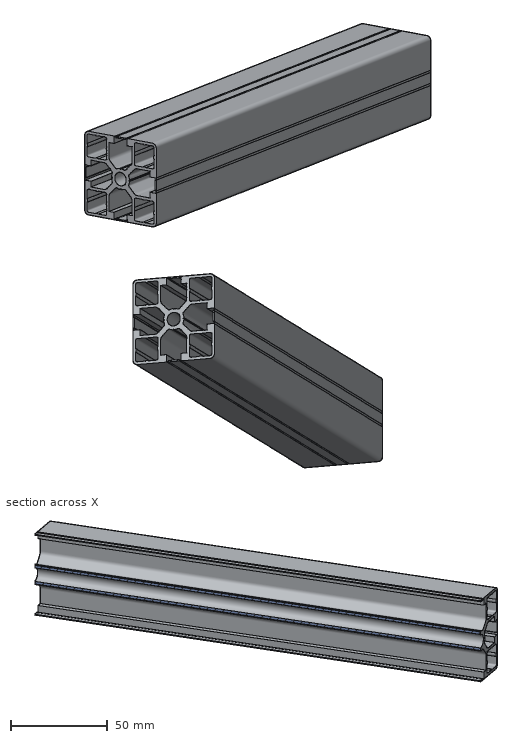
import cadquery as cq
import math

side = 45.0
length = 250.0
corner_radius = 2.5
wall = 1.5

bore_diameter = 7.19
tube_diameter = 11.3
web_thickness = 3.1
web_root_fillet = 1.0
notch_depth = 0.4

slot_opening = 8.2
slot_width = 14.4
lip_depth = 4.0
shoulder_fillet = 2.5

cover_thickness = 0.75
score_width = 1.2
score_skin = 0.3

cell_fillet = 1.0
ridge_radius = 2.0
ridge_height = 0.25

half_side = side / 2
half_slot = slot_width / 2
half_opening = slot_opening / 2
tube_radius = tube_diameter / 2
cell_near = half_slot + wall
cell_far = half_side - wall
cell_size = cell_far - cell_near
cell_centre = (cell_far + cell_near) / 2
web_offset = web_thickness / math.sqrt(2)
lip_level = half_side - lip_depth
cover_level = half_side - cover_thickness
score_level = half_side - score_skin
quarter_turns = (0, 90, 180, 270)


def profile():
    """Workplane at the -Y end: local x is X, local y is Z; extrude(-length) fills the bar."""
    return cq.Workplane("XZ", origin=(0, -length / 2, 0))


def fillet_mirrored_pair(body, x, z, radius):
    """Round the two lengthwise edges of the body nearest to (x, z) and (-x, z)."""
    right = body.edges(cq.selectors.NearestToPointSelector((x, 0, z)))
    left = body.edges(cq.selectors.NearestToPointSelector((-x, 0, z)))
    return right.add(left).fillet(radius)


def make_bar():
    bar = profile().rect(side, side).extrude(-length)
    return bar.edges("|Y").fillet(corner_radius)


def make_cell():
    """Square cell, with a low rounded ridge along the middle of each wall."""
    cell = profile().center(cell_centre, cell_centre).rect(cell_size, cell_size).extrude(-length)
    cell = cell.edges("|Y").fillet(cell_fillet)
    ridge_offset = cell_size / 2 - ridge_height + ridge_radius
    ridges = (
        profile()
        .center(cell_centre, cell_centre)
        .polarArray(ridge_offset, 0, 360, len(quarter_turns))
        .circle(ridge_radius)
        .extrude(-length)
    )
    return cell.cut(ridges)


def make_slot_chamber():
    """Wide part of the top slot, tapering down between two webs to the tube."""
    shoulder_level = half_slot + web_offset
    chamber = (
        profile()
        .moveTo(0, web_offset)
        .lineTo(half_slot, shoulder_level)
        .lineTo(half_slot, lip_level)
        .lineTo(-half_slot, lip_level)
        .lineTo(-half_slot, shoulder_level)
        .close()
        .extrude(-length)
    )
    tube = profile().circle(tube_radius).extrude(-length)
    chamber = chamber.cut(tube)

    root_x = (math.sqrt(2 * tube_radius**2 - web_offset**2) - web_offset) / 2
    root_level = root_x + web_offset
    chamber = fillet_mirrored_pair(chamber, root_x, root_level, web_root_fillet)
    chamber = fillet_mirrored_pair(chamber, half_slot, shoulder_level, shoulder_fillet)
    return chamber.union(make_tube_notch())


def make_tube_notch():
    """Small 90 degree V along the crown of the tube, facing the slot."""
    return (
        profile()
        .moveTo(0, tube_radius - notch_depth)
        .lineTo(notch_depth, tube_radius)
        .lineTo(-notch_depth, tube_radius)
        .close()
        .extrude(-length)
    )


def make_slot_mouth():
    """Passage between the lips, with a score groove along each edge of the cover."""
    cover_edge = half_opening - score_width
    return (
        profile()
        .moveTo(-half_opening, lip_level)
        .lineTo(-half_opening, score_level)
        .lineTo(-cover_edge, score_level)
        .lineTo(-cover_edge, cover_level)
        .lineTo(cover_edge, cover_level)
        .lineTo(cover_edge, score_level)
        .lineTo(half_opening, score_level)
        .lineTo(half_opening, lip_level)
        .close()
        .extrude(-length)
    )


def cut_around(body, cutter):
    """Cut the same opening four times, a quarter turn apart about the bar axis."""
    for angle in quarter_turns:
        body = body.cut(cutter.rotate((0, 0, 0), (0, 1, 0), angle))
    return body


bore = profile().circle(bore_diameter / 2).extrude(-length)

result = make_bar().cut(bore)
result = cut_around(result, make_cell())
result = cut_around(result, make_slot_chamber())
result = cut_around(result, make_slot_mouth())